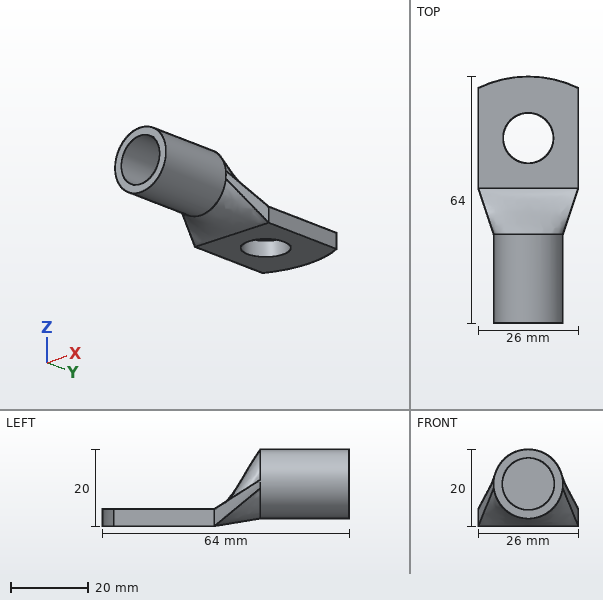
import cadquery as cq
import math

total_length = 64.0
palm_width = 26.0
palm_thickness = 4.5
palm_length = 29.0
tip_rise = 3.0
bolt_hole_diameter = 13.0
bolt_hole_to_neck = 13.0
neck_length = 12.0
barrel_outer_diameter = 18.0
bore_diameter = 13.5
barrel_lift = 2.0
neck_side_half_angle = math.radians(7.0)

neck_spans = 4
neck_edge_spans = 8

barrel_length = total_length - palm_length - neck_length
palm_start = barrel_length + neck_length
half_width = palm_width / 2
barrel_radius = barrel_outer_diameter / 2
barrel_axis_height = barrel_lift + barrel_radius
crest_rise = barrel_axis_height + barrel_radius - palm_thickness


def make_palm():
    """Flat bolting tongue with a bowed tip and a through hole."""
    plate = (
        cq.Workplane("XY")
        .moveTo(-half_width, palm_start)
        .lineTo(half_width, palm_start)
        .lineTo(half_width, total_length - tip_rise)
        .threePointArc((0, total_length), (-half_width, total_length - tip_rise))
        .close()
        .extrude(palm_thickness)
    )
    hole = (
        cq.Workplane("XY")
        .center(0, palm_start + bolt_hole_to_neck)
        .circle(bolt_hole_diameter / 2)
        .extrude(palm_thickness)
    )
    return plate.cut(hole)


def make_barrel():
    """Round sleeve whose blind bore ends where the neck begins."""
    mouth = cq.Workplane("XZ").center(0, barrel_axis_height)
    sleeve = mouth.circle(barrel_radius).extrude(-barrel_length)
    bore = mouth.circle(bore_diameter / 2).extrude(-barrel_length)
    return sleeve.cut(bore)


def blend(start, end, fraction):
    """Value part-way between start and end."""
    return start + (end - start) * fraction


def crest_fraction(fraction):
    """Height law of the crest: level with the palm at first, steepening towards the barrel."""
    return 2 * fraction**2 - fraction**3


def neck_edge(palm_from, palm_to, rim_from, rim_to, fraction, sag=0.0):
    """One section edge, part-way between a straight palm edge and an arc of the barrel rim.

    The palm edge joins two (X, Z) points and the rim arc spans two angles. The sag lowers the
    edge in proportion to how far the arc stands above its own ends.
    """
    y = blend(palm_start, barrel_length, fraction)
    points = []
    for i in range(neck_edge_spans + 1):
        share = i / neck_edge_spans
        angle = blend(rim_from, rim_to, share)
        rim_x = barrel_radius * math.cos(angle)
        rim_z = barrel_axis_height + barrel_radius * math.sin(angle)
        arc_rise = (math.sin(angle) - math.sin(rim_from)) / (1 - math.sin(rim_from))
        x = blend(blend(palm_from[0], palm_to[0], share), rim_x, fraction)
        z = blend(blend(palm_from[1], palm_to[1], share), rim_z, fraction)
        points.append(cq.Vector(x, y, z - sag * arc_rise))
    return cq.Edge.makeSpline(points)


def neck_section(fraction):
    """Closed section of the neck; fraction 0 is the palm end and 1 is the barrel end."""
    corners = [
        (half_width, 0),
        (half_width, palm_thickness),
        (-half_width, palm_thickness),
        (-half_width, 0),
    ]
    angles = [
        -neck_side_half_angle,
        neck_side_half_angle,
        math.pi - neck_side_half_angle,
        math.pi + neck_side_half_angle,
        2 * math.pi - neck_side_half_angle,
    ]
    crest_sag = crest_rise * (fraction - crest_fraction(fraction))
    sags = [0, crest_sag, 0, 0]

    edges = []
    for i, corner in enumerate(corners):
        next_corner = corners[(i + 1) % len(corners)]
        edges.append(neck_edge(corner, next_corner, angles[i], angles[i + 1], fraction, sags[i]))
    return cq.Wire.assembleEdges(edges)


def make_neck():
    """Solid transition from the rectangular palm end to the round barrel end."""
    sections = [neck_section(i / neck_spans) for i in range(neck_spans + 1)]
    return cq.Workplane(cq.Solid.makeLoft(sections))


result = make_palm().union(make_neck()).union(make_barrel())